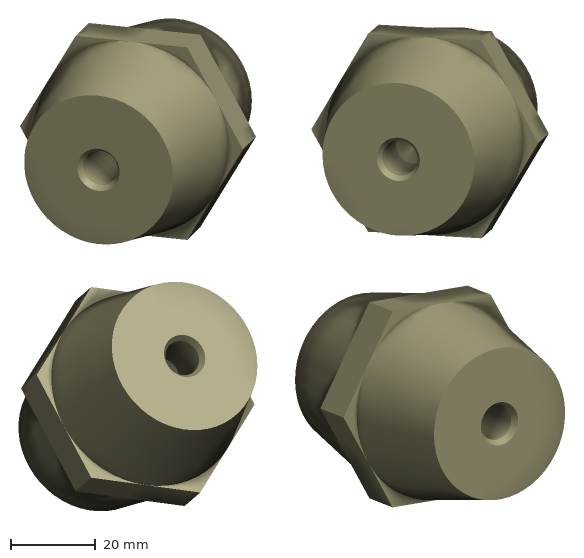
import cadquery as cq
import math

overall_length = 60.0
hex_sides = 6
hex_across_flats = 48.0
hex_thickness = 10.0
end_diameter = 37.0

insert_diameter = 17.05
insert_length = 18.0
bore_diameter = 8.5
bore_depth = 14.4
bore_mouth_diameter = 10.5
mouth_chamfer_depth = 1.55
drill_point_angle = 118.0

half_length = overall_length / 2
half_hex_thickness = hex_thickness / 2
hex_across_corners = hex_across_flats / math.cos(math.pi / hex_sides)
collar_end_radius = hex_across_flats / 2
end_radius = end_diameter / 2
insert_radius = insert_diameter / 2
bore_radius = bore_diameter / 2
bore_mouth_radius = bore_mouth_diameter / 2
drill_point_depth = bore_radius / math.tan(math.radians(drill_point_angle / 2))
insert_inner_y = half_length - insert_length

end_directions = (-1, 1)


def revolve_about_y(outline):
    """Revolve (radius, y) points into a solid of revolution about the Y axis."""
    return cq.Workplane("XY").polyline(outline).close().revolve(360, (0, 0), (0, 1))


def make_hex_collar():
    """Hexagonal wrench collar with corners on the X axis and flats facing Z."""
    return (
        cq.Workplane("XZ")
        .polygon(hex_sides, hex_across_corners)
        .extrude(half_hex_thickness, both=True)
    )


def make_tapered_end(direction):
    """Cone from the collar's flats down to the end face."""
    base_y = direction * half_hex_thickness
    end_y = direction * half_length
    return revolve_about_y([(0, base_y), (collar_end_radius, base_y), (end_radius, end_y), (0, end_y)])


def make_insert_pocket(direction):
    """Plain cylinder filling the recess that an insert sits in."""
    inner_y = direction * insert_inner_y
    end_y = direction * half_length
    return revolve_about_y([(0, inner_y), (insert_radius, inner_y), (insert_radius, end_y), (0, end_y)])


def make_housing():
    """Insulating body: hexagonal collar, two tapered ends and two insert pockets."""
    housing = make_hex_collar()
    for direction in end_directions:
        housing = housing.union(make_tapered_end(direction))
    for direction in end_directions:
        housing = housing.cut(make_insert_pocket(direction))
    return housing


def make_insert(direction):
    """Cylindrical bush with a blind, drill-pointed bore and a chamfered mouth."""
    end_y = direction * half_length
    inner_y = direction * insert_inner_y
    chamfer_y = direction * (half_length - mouth_chamfer_depth)
    bore_floor_y = direction * (half_length - bore_depth)
    drill_tip_y = direction * (half_length - bore_depth - drill_point_depth)
    return revolve_about_y([
        (0, inner_y),
        (insert_radius, inner_y),
        (insert_radius, end_y),
        (bore_mouth_radius, end_y),
        (bore_radius, chamfer_y),
        (bore_radius, bore_floor_y),
        (0, drill_tip_y),
    ])


housing = make_housing()
inserts = [make_insert(direction) for direction in end_directions]

result = cq.Compound.makeCompound([housing.val(), *[insert.val() for insert in inserts]])